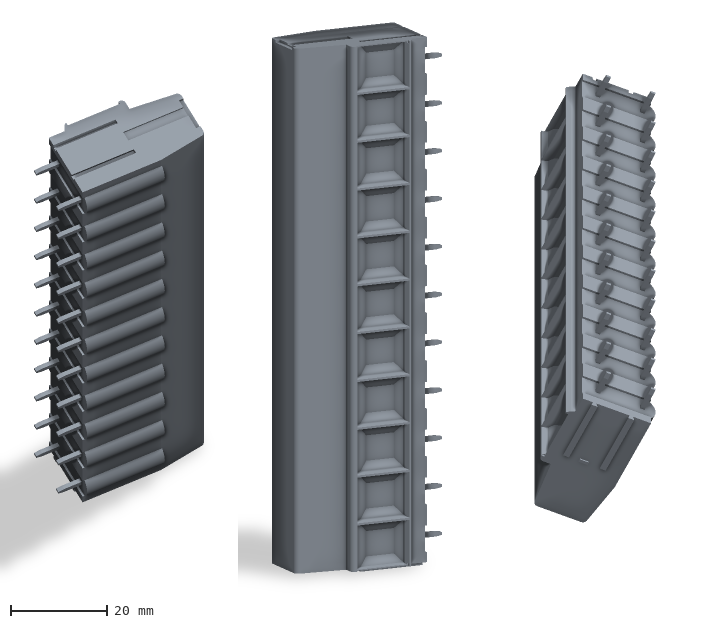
import cadquery as cq


poles = 11
pole_span = 101.6
pole_pitch = pole_span / (poles - 1)
end_margin = 5.0
rib_height = 1.0
bottom_z = rib_height
top_z = bottom_z + pole_span + 2 * end_margin
pole_heights = [bottom_z + end_margin + i * pole_pitch for i in range(poles)]

base_y = 5.0
crown_y = 34.3
shoulder_y = 23.2
base_front_x = 1.7
back_x = 17.2
crown_front_x = 3.7
crown_back_x = 15.4
shoulder_front_x = 2.7
crown_radius = 1.0
shoulder_radius = 0.9
sill_y = 9.6
sill_mid_x = 0.8
sill_mid_y = 9.0
sill_inner_y = 8.5

divider_width = 0.5
rim_depth = 1.2
throat_depth = 2.0
pocket_depth = 3.2
mouth_y = (9.9, 21.9)
throat_y = (10.4, 21.4)
floor_y = (11.9, 18.3)
mouth_height = pole_pitch - divider_width
throat_height = 8.9
floor_height = 5.4
end_wall_setback = 0.7

channel_height = 5.7
channel_depth = 0.5
boss_top_y = 23.4
boss_height = 5.4
boss_reach = 1.2
pin_width = 1.0
pin_first_x = 5.3
pin_spacing = 10.1
pin_root = 1.1
pin_taper_length = 1.4
pin_tip_height = 0.6

joint_end_y = 19.4
joint_middle_x = 8.5
joint_spacing = 8.3
rib_neck = 0.8
rib_head = 1.4
groove_depth = 0.8
groove_mouth = (-0.6, 0.5)
groove_floor = (-0.3, 0.7)
slot_width = 2.4
slot_depth = 0.3
latch_width = 2.0
latch_length = 0.7
latch_height = 0.3
notch_x = (5.4, 13.3)
notch_length = 1.0
notch_depth = 0.6


def block(x_range, y_range, z_range):
    """Box given by its limits along each axis."""
    size = [r[1] - r[0] for r in (x_range, y_range, z_range)]
    corner = (x_range[0], y_range[0], z_range[0])
    return cq.Workplane("XY").box(*size, centered=False).translate(corner)


def along_y(points, y_start, y_end):
    """Prism with an X-Z outline running from y_start up to y_end."""
    outline = cq.Workplane("XZ", origin=(0, y_start, 0)).polyline(points).close()
    return outline.extrude(y_start - y_end)


def housing():
    outline = [
        (base_front_x, base_y),
        (back_x, base_y),
        (back_x, shoulder_y),
        (crown_back_x, crown_y),
        (crown_front_x, crown_y),
        (shoulder_front_x, shoulder_y),
        (0, shoulder_y),
        (0, sill_y),
        (sill_mid_x, sill_mid_y),
        (base_front_x, sill_inner_y),
    ]
    body = cq.Workplane("XY", origin=(0, 0, bottom_z)).polyline(outline).close().extrude(top_z - bottom_z)
    body = body.edges("|Z").edges(">Y").fillet(crown_radius)
    shoulder_edge = cq.selectors.NearestToPointSelector((0, shoulder_y, (bottom_z + top_z) / 2))
    return body.edges(shoulder_edge).fillet(shoulder_radius)


def pocket_stage(x_start, x_end, start_y, end_y, start_height, end_height, z):
    """Tapered rectangular stage of a pocket, deepening along X."""
    start_middle = sum(start_y) / 2
    end_middle = sum(end_y) / 2
    return (
        cq.Workplane("YZ", origin=(x_start, start_middle, z))
        .rect(start_y[1] - start_y[0], start_height)
        .workplane(offset=x_end - x_start)
        .center(end_middle - start_middle, 0)
        .rect(end_y[1] - end_y[0], end_height)
        .loft(ruled=True)
    )


def wire_pocket(z):
    """Slightly tapered mouth leading into a funnel whose upper wall is one plane from rim to floor."""
    rim_height = mouth_height + (throat_height - mouth_height) * rim_depth / throat_depth
    upper_slope = (floor_y[1] - throat_y[1]) / (pocket_depth - rim_depth)
    neck_y = (throat_y[0], throat_y[1] + upper_slope * (throat_depth - rim_depth))
    mouth = pocket_stage(0, rim_depth, mouth_y, throat_y, mouth_height, rim_height, z)
    throat = pocket_stage(rim_depth, throat_depth, throat_y, neck_y, rim_height, throat_height, z)
    funnel = pocket_stage(throat_depth, pocket_depth, neck_y, floor_y, throat_height, floor_height, z)
    return mouth.union(throat).union(funnel)


def base_channel(z):
    z_range = (z - channel_height / 2, z + channel_height / 2)
    return block((0, back_x), (base_y, base_y + channel_depth), z_range)


def back_boss(z):
    half = boss_height / 2
    profile = (
        cq.Workplane("XZ", origin=(0, base_y + channel_depth, 0))
        .moveTo(back_x - boss_reach, z - half)
        .lineTo(back_x, z - half)
        .threePointArc((back_x + boss_reach, z), (back_x, z + half))
        .lineTo(back_x - boss_reach, z + half)
        .close()
    )
    return profile.extrude(base_y + channel_depth - boss_top_y)


def pin(x, z):
    half = pin_width / 2
    tip = pin_tip_height / 2
    root_y = base_y + channel_depth + pin_root
    outline = [
        (root_y, z - half),
        (root_y, z + half),
        (pin_taper_length, z + half),
        (0, z + tip),
        (0, z - tip),
        (pin_taper_length, z - half),
    ]
    return cq.Workplane("YZ", origin=(x - half, 0, 0)).polyline(outline).close().extrude(pin_width)


def joint_rib(x):
    outline = [
        (x - rib_neck / 2, bottom_z),
        (x + rib_neck / 2, bottom_z),
        (x + rib_head / 2, 0),
        (x - rib_head / 2, 0),
    ]
    return along_y(outline, base_y, joint_end_y)


def joint_groove(x, inward):
    """Groove leaning towards the middle; inward is +1 or -1 along X."""
    floor_z = top_z - groove_depth
    outline = [
        (x + inward * groove_mouth[0], top_z),
        (x + inward * groove_mouth[1], top_z),
        (x + inward * groove_floor[1], floor_z),
        (x + inward * groove_floor[0], floor_z),
    ]
    return along_y(outline, base_y, joint_end_y)


def middle_slab(width, length, z_range):
    """Thin slab on the joint centreline, starting where the ribs and grooves end."""
    x_range = (joint_middle_x - width / 2, joint_middle_x + width / 2)
    return block(x_range, (joint_end_y, joint_end_y + length), z_range)


result = housing()

for pole_z in pole_heights:
    result = result.cut(wire_pocket(pole_z)).cut(base_channel(pole_z))
    result = result.union(back_boss(pole_z))
    for pin_x in (pin_first_x, pin_first_x + pin_spacing):
        result = result.union(pin(pin_x, pole_z))

end_wall = end_margin - throat_height / 2
for wall_z in ((bottom_z, bottom_z + end_wall), (top_z - end_wall, top_z)):
    result = result.cut(block((0, end_wall_setback), mouth_y, wall_z))

for side in (-1, 1):
    joint_x = joint_middle_x + side * joint_spacing / 2
    result = result.union(joint_rib(joint_x)).cut(joint_groove(joint_x, -side))

notch_y = crown_y - notch_length
slot_length = notch_y - joint_end_y
result = result.cut(middle_slab(slot_width, slot_length, (top_z - slot_depth, top_z)))
result = result.cut(block(notch_x, (notch_y, crown_y), (top_z - notch_depth, top_z)))
result = result.union(middle_slab(latch_width, latch_length, (bottom_z - latch_height, bottom_z)))